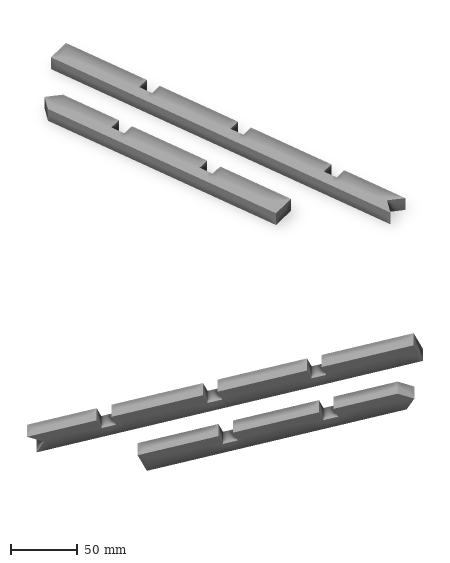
import cadquery as cq

bar_width = 20.0
bar_thickness = 12.0
bar_pitch = 50.0

point_depth = bar_width / 2

slot_width = 12.0
slot_depth = bar_width / 2

long_length = 312.5
long_slot_starts = (74.5, 158.5, 244.5)

short_length = 220.0
short_offset = 22.0
short_slot_starts = (61.5, 142.8)


def cut_slots(bar, starts):
    """Cut rectangular slots, open at the +Y edge, through the full thickness."""
    for start in starts:
        slot = (
            cq.Workplane("XY")
            .box(slot_width, slot_depth, bar_thickness, centered=False)
            .translate((start, bar_width - slot_depth, 0))
        )
        bar = bar.cut(slot)
    return bar


def make_long_bar():
    outline = [
        (0, 0),
        (long_length, 0),
        (long_length - point_depth, bar_width / 2),
        (long_length, bar_width),
        (0, bar_width),
    ]
    blank = cq.Workplane("XY").polyline(outline).close().extrude(bar_thickness)
    return cut_slots(blank, long_slot_starts)


def make_short_bar():
    outline = [
        (0, bar_width / 2),
        (point_depth, 0),
        (short_length, 0),
        (short_length, bar_width),
        (point_depth, bar_width),
    ]
    blank = cq.Workplane("XY").polyline(outline).close().extrude(bar_thickness)
    return cut_slots(blank, short_slot_starts)


long_bar = make_long_bar().translate((0, bar_pitch, 0))
short_bar = make_short_bar().translate((short_offset, 0, 0))

result = cq.Compound.makeCompound([long_bar.val(), short_bar.val()])